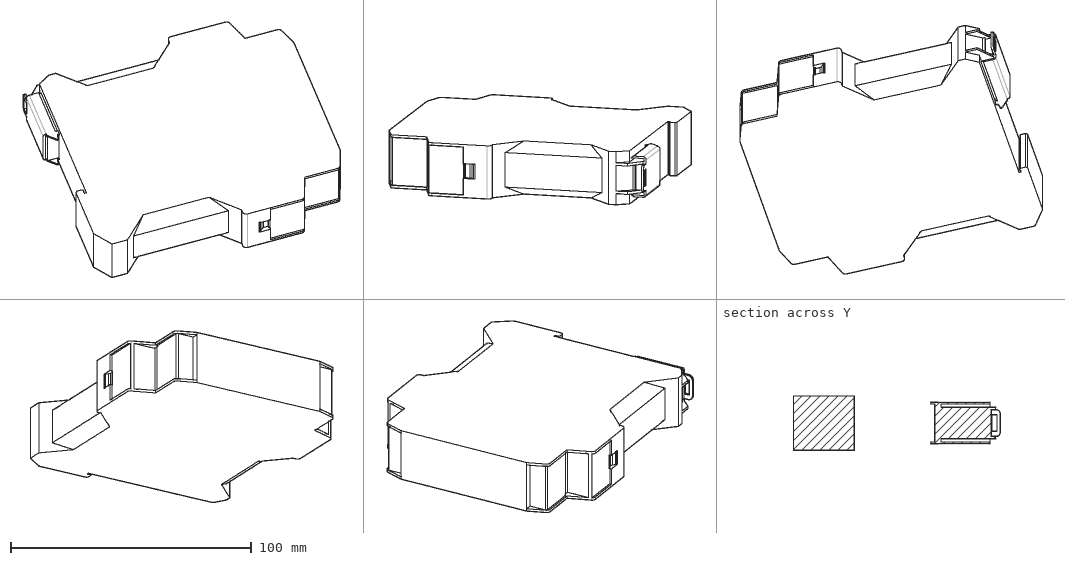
import cadquery as cq


thickness = 22.6
body_width = 99.0
body_half = body_width / 2
front_y = 113.6
front_half = 30.0
head_half = 38.7
head_corner_y = 110.4
step_y = 95.1
shoulder_corner_y = 91.2
shoulder_bottom_y = 64.6
neck_start_half = 46.7
neck_half = 36.0
neck_top_y = shoulder_bottom_y - (neck_start_half - neck_half)
neck_bottom_y = 25.1
base_half = 46.5
base_top_y = neck_bottom_y - (base_half - neck_half)
corner_radius = 1.6

floor_y = 6.5
corner_start_y = 11.6
corner_end_x = -43.3
foot_y = 2.4
hook_x = 15.3
hook_root_x = 17.4
hook_y = 5.7
hook_chamfer = 0.7
hook_tip_chamfer = 0.5
foot_end_x = 38.9
foot_bevel_y = 7.8

bulge_half = 42.4
bulge_flat_height = 14.7
bulge_flat_half = bulge_flat_height / 2
bulge_reach = bulge_half - neck_half

cheek = 1.1
recess_depth = 0.8
recess_bottom_y = 76.5
head_ledge_y = 110.8
shoulder_ledge_y = 92.0
ledge_chamfer = 0.7
step_groove_depth = 0.7

slot_height = 6.2
slot_half = slot_height / 2
slot_step_y = 75.9
slot_floor_end_y = 74.0
slot_knee_y = 73.0
slot_ramp_end_y = 72.1
slot_bottom_y = 71.5
slot_step_depth = 1.1
slot_depth = 1.8
slot_knee_depth = 1.4
slot_lip_depth = 0.5

latch_left_x = -41.0
latch_right_x = -19.3
latch_half = 8.6
latch_wall = 0.8
latch_edge_radius = 1.2
latch_base = 0.9
latch_bottom_y = 0
lip_height = 1.1
lip_end_x = -19.5
end_wall_x = -18.1
end_wall_thickness = 1.9
band_low_y = 2.4
band_high_y = 4.8
band_depth = 0.7
prong_tip_x = -15.2
prong_tip_y = 5.2
prong_tip_flat = 0.5
prong_root_x = -17.6
prong_notch_y = 5.7
prong_bottom_x = -18.5
bevel_foot_y = 1.4

fin_outer = 6.6
fin_thickness = 1.1
fin_inner = fin_outer - fin_thickness
bevel_end_y = 5.2
core_x = -41.6
core_y = 4.3
core_gap_y = 1.2
tab_x = -45.3
tab_width = 11.2
tab_half = tab_width / 2
tab_radius = 1.9
window_left_x = -43.8
window_right_x = -41.8
window_half = 3.4
bar_setback = 0.2


def plate(points, z_low, z_high):
    """Extrude an XY outline between two heights."""
    outline = cq.Workplane("XY").workplane(offset=z_low).polyline(points).close()
    return outline.extrude(z_high - z_low)


def slab(points, half):
    """Extrude an XY outline symmetrically about Z = 0."""
    return plate(points, -half, half)


def box(x_low, x_high, y_low, y_high, half):
    """Make a block that is symmetric about Z = 0."""
    return slab([(x_low, y_low), (x_high, y_low), (x_high, y_high), (x_low, y_high)], half)


def both_sides(solid):
    """Return the solid together with its mirror image across X = 0."""
    return solid.union(solid.mirror("YZ"))


def above_and_below(solid):
    """Return the solid together with its mirror image across Z = 0."""
    return solid.union(solid.mirror("XY"))


def housing():
    left_side = [
        (-front_half, front_y),
        (-head_half, head_corner_y),
        (-head_half, step_y),
        (-body_half, shoulder_corner_y),
        (-body_half, shoulder_bottom_y),
        (-neck_start_half, shoulder_bottom_y),
        (-neck_half, neck_top_y),
        (-neck_half, neck_bottom_y),
        (-base_half, base_top_y),
    ]
    rail_side = [
        (-base_half, corner_start_y),
        (corner_end_x, floor_y),
        (hook_root_x, floor_y),
        (hook_root_x, hook_y),
        (hook_x + hook_tip_chamfer, hook_y),
        (hook_x, hook_y - hook_tip_chamfer),
        (hook_x, foot_y + hook_chamfer),
        (hook_x + hook_chamfer, foot_y),
        (foot_end_x, foot_y),
        (base_half, foot_bevel_y),
    ]
    right_side = [(-x, y) for x, y in reversed(left_side)]
    body = slab(left_side + rail_side + right_side, thickness / 2)

    for corner_x, corner_y in [
        (head_half, head_corner_y),
        (body_half, shoulder_corner_y),
        (body_half, shoulder_bottom_y),
    ]:
        for x in (-corner_x, corner_x):
            edge = cq.selectors.NearestToPointSelector((x, corner_y, 0))
            body = body.edges("|Z").edges(edge).fillet(corner_radius)
    return body


def neck_bulges():
    outline = slab(
        [
            (0, neck_top_y),
            (-neck_half, neck_top_y),
            (-bulge_half, neck_top_y + bulge_reach),
            (-bulge_half, neck_bottom_y - bulge_reach),
            (-neck_half, neck_bottom_y),
            (0, neck_bottom_y),
        ],
        thickness / 2,
    )
    section = (
        cq.Workplane("XZ")
        .polyline(
            [
                (0, thickness / 2),
                (-neck_half, thickness / 2),
                (-bulge_half, bulge_flat_half),
                (-bulge_half, -bulge_flat_half),
                (-neck_half, -thickness / 2),
                (0, -thickness / 2),
            ]
        )
        .close()
        .extrude(-front_y)
    )
    return both_sides(outline.intersect(section))


def terminal_recesses():
    head_face_x = -head_half + recess_depth
    recess = slab(
        [
            (-front_half, front_y),
            (-front_half, head_ledge_y),
            (head_face_x + ledge_chamfer, head_ledge_y),
            (head_face_x, head_ledge_y - ledge_chamfer),
            (head_face_x, step_y),
            (head_face_x + step_groove_depth, step_y),
            (head_face_x + step_groove_depth, shoulder_ledge_y),
            (-body_half + recess_depth, shoulder_ledge_y),
            (-body_half + recess_depth, recess_bottom_y),
            (-body_half, recess_bottom_y),
            (-body_half, front_y),
        ],
        thickness / 2 - cheek,
    )
    return both_sides(recess)


def screwdriver_slots():
    slot = slab(
        [
            (-body_half, recess_bottom_y),
            (-body_half + slot_step_depth, recess_bottom_y),
            (-body_half + slot_step_depth, slot_step_y),
            (-body_half + slot_depth, slot_step_y),
            (-body_half + slot_depth, slot_floor_end_y),
            (-body_half + slot_knee_depth, slot_knee_y),
            (-body_half + slot_lip_depth, slot_ramp_end_y),
            (-body_half + slot_lip_depth, slot_bottom_y),
            (-body_half, slot_bottom_y),
        ],
        slot_half,
    )
    return both_sides(slot)


def latch_channel():
    shell = box(latch_left_x, latch_right_x, latch_bottom_y, floor_y, latch_half)
    shell = shell.edges("|X and <Y").fillet(latch_edge_radius)
    shell = shell.cut(
        box(latch_left_x, latch_right_x, latch_base, floor_y, latch_half - latch_wall)
    )

    bevel = (
        cq.Workplane("YZ")
        .workplane(offset=latch_left_x)
        .polyline(
            [
                (floor_y, latch_half),
                (floor_y, latch_half - latch_wall),
                (floor_y - lip_height, latch_half),
            ]
        )
        .close()
        .extrude(lip_end_x - latch_left_x)
    )
    shell = shell.cut(above_and_below(bevel))

    inner_x = end_wall_x - end_wall_thickness
    end_wall = slab(
        [
            (latch_right_x, latch_base),
            (end_wall_x, bevel_foot_y),
            (end_wall_x, floor_y),
            (inner_x, floor_y),
            (inner_x, band_high_y),
            (inner_x - band_depth, band_high_y),
            (inner_x - band_depth, band_low_y),
            (inner_x, band_low_y),
            (inner_x, latch_base),
        ],
        latch_half - latch_wall,
    )
    prong = plate(
        [
            (lip_end_x, floor_y),
            (prong_root_x, floor_y),
            (prong_root_x, prong_notch_y),
            (prong_tip_x, prong_tip_y),
            (prong_tip_x, prong_tip_y - prong_tip_flat),
            (prong_bottom_x, bevel_foot_y),
            (lip_end_x, bevel_foot_y),
        ],
        latch_half - latch_wall,
        latch_half,
    )
    return shell.union(end_wall).union(above_and_below(prong))


def latch_guides():
    fin = plate(
        [
            (-base_half, corner_start_y),
            (-base_half, floor_y),
            (latch_left_x, bevel_foot_y),
            (latch_left_x, latch_base),
            (latch_right_x, latch_base),
            (latch_right_x, corner_start_y),
        ],
        fin_inner,
        fin_outer,
    )
    bevel_run = (base_half + corner_end_x) / (corner_start_y - floor_y)
    bevel_end_x = corner_end_x + bevel_run * (floor_y - bevel_end_y)
    core = slab(
        [
            (corner_end_x, floor_y),
            (bevel_end_x, bevel_end_y),
            (bevel_end_x, core_y),
            (core_x, core_y),
            (core_x, core_gap_y),
            (latch_left_x, core_gap_y),
            (latch_left_x, latch_base),
            (latch_right_x, latch_base),
            (latch_right_x, floor_y),
        ],
        fin_inner,
    )
    return above_and_below(fin).union(core)


def pull_tab():
    tab = box(tab_x, latch_right_x, latch_bottom_y, latch_base, tab_half)
    tab = tab.edges("|Y and <X").fillet(tab_radius)
    window = box(window_left_x, window_right_x, latch_bottom_y, latch_base, window_half)
    return tab.cut(window)


def tab_bar_setback():
    return box(window_right_x, latch_left_x, latch_bottom_y, bar_setback, window_half)


result = (
    housing()
    .union(neck_bulges())
    .cut(terminal_recesses())
    .cut(screwdriver_slots())
    .union(latch_guides())
    .union(latch_channel())
    .union(pull_tab())
    .cut(tab_bar_setback())
)